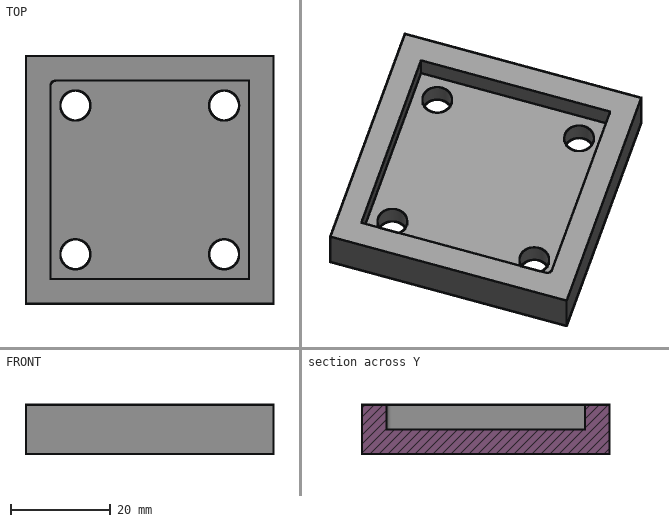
import cadquery as cq

side = 50.0
height = 10.0
wall = 5.0
floor_thickness = 5.0
corner_radius = 1.0
hole_diameter = 6.0
hole_spacing = 30.0

pocket_side = side - 2 * wall
pocket_depth = height - floor_thickness


def make_block():
    """Solid square block standing on the XY plane."""
    return cq.Workplane("XY").rect(side, side).extrude(height)


def cut_pocket(body):
    """Square pocket open at the top, with only its -X, +Y corner rounded."""
    pocket = (
        cq.Workplane("XY")
        .workplane(offset=floor_thickness)
        .rect(pocket_side, pocket_side)
        .extrude(pocket_depth)
        .edges("|Z").edges("<(1, -1, 0)")
        .fillet(corner_radius)
    )
    return body.cut(pocket)


def cut_holes(body):
    """One through hole near each corner of the pocket floor."""
    holes = (
        cq.Workplane("XY")
        .rect(hole_spacing, hole_spacing, forConstruction=True)
        .vertices()
        .circle(hole_diameter / 2)
        .extrude(height)
    )
    return body.cut(holes)


result = cut_holes(cut_pocket(make_block()))